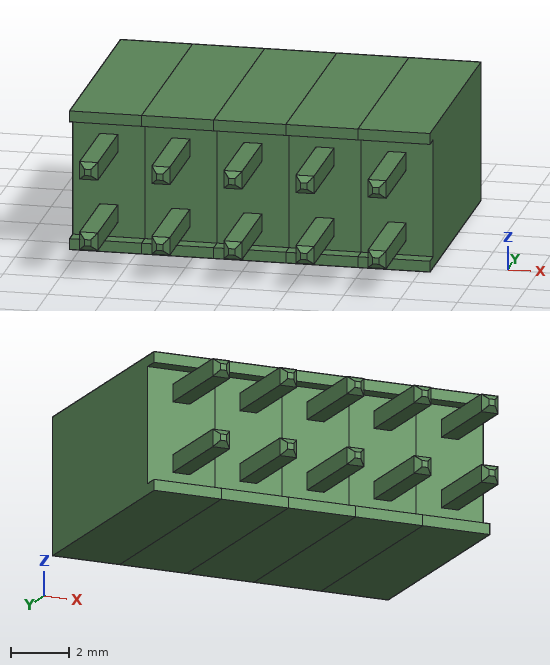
import cadquery as cq

MODULE_COUNT = 5
ROW_LENGTH = 12.7
PITCH = ROW_LENGTH / MODULE_COUNT

HEIGHT = 5.0
HOUSING_DEPTH = 8.51
LIP_LENGTH = 0.55
LIP_THICKNESS = 0.4

OVERALL_DEPTH = 11.5
PIN_SIDE = 0.64
TIP_CHAMFER = 0.2

LIP_FRONT_Y = OVERALL_DEPTH - HOUSING_DEPTH
PIN_FACE_Y = LIP_FRONT_Y + LIP_LENGTH


def make_housing_block():
    """One block centred on X and Z, with a recess between its top and bottom lips."""
    block = cq.Workplane("XY").box(PITCH, HOUSING_DEPTH, HEIGHT, centered=(True, False, True))
    recess = cq.Workplane("XY").box(
        PITCH, LIP_LENGTH, HEIGHT - 2 * LIP_THICKNESS, centered=(True, False, True)
    )
    return block.cut(recess).translate((0, LIP_FRONT_Y, 0))


def make_pin(z):
    """A square pin with a chamfered tip, reaching from Y = 0 to the recess floor."""
    pin = cq.Workplane("XY").box(PIN_SIDE, PIN_FACE_Y, PIN_SIDE, centered=(True, False, True))
    return pin.faces("<Y").chamfer(TIP_CHAMFER).translate((0, 0, z))


def make_module(x):
    """One module: housing block and its two pins as a single solid."""
    module = make_housing_block()
    for z in (-PITCH / 2, PITCH / 2):
        module = module.union(make_pin(z))
    return module.translate((x, 0, 0))


modules = []
for index in range(MODULE_COUNT):
    module_x = (index - (MODULE_COUNT - 1) / 2) * PITCH
    modules.append(make_module(module_x).solids().val())

result = cq.Compound.makeCompound(modules)